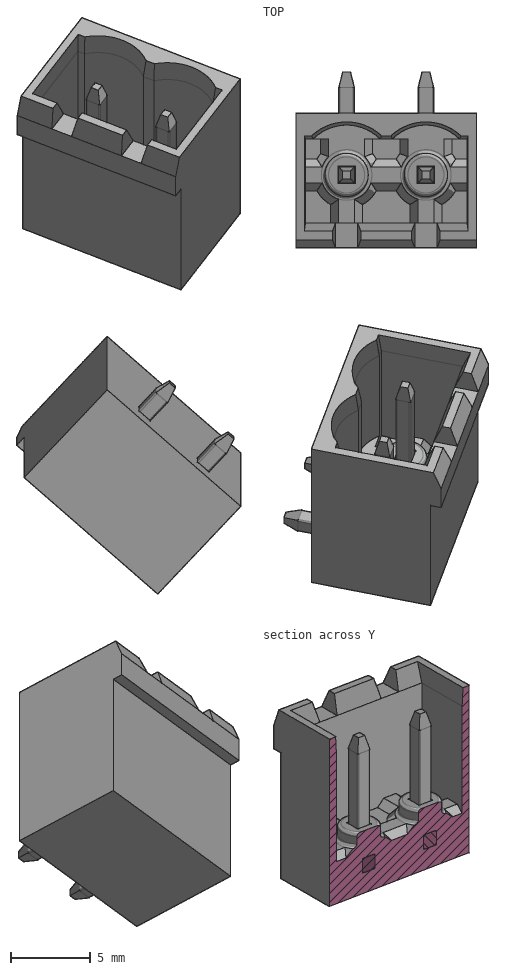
import cadquery as cq

WIDTH = 11.4
HEIGHT = 12.0
HOUSING_DEPTH = 8.5
LIP_OVERHANG = 0.7
LIP_BOTTOM = 9.0
LIP_CHAMFER_DEPTH = 0.5
LEAD_IN_DEPTH = 1.3

PITCH = 5.0
PIN_Y = 4.6
PIN_XS = [WIDTH / 2 - PITCH / 2, WIDTH / 2 + PITCH / 2]

FLOOR_Z = 3.0
SIDE_WALL = 0.6
SIDE_LEAD_IN = 0.07
FRONT_Y = 1.55
FRONT_LEAD_IN = 0.5
BACK_Y = 6.86
BACK_LEAD_IN = 0.2
LOBE_RADIUS = 3.0
LOBE_Y = 4.74

NOTCH_TOP_WIDTH = 1.8
NOTCH_BOTTOM_WIDTH = 1.4

RIB_HEIGHT = 0.5
RIB_WIDTH = 1.0
BACK_RIB_WIDTH = 2.28
RIB_DISC_RADIUS = 1.62
BOSS_RADIUS = 1.37
BOSS_TOP_Z = 4.5
BOSS_FILLET = 0.23

PIN_SIZE = 1.0
PIN_FILLET = 0.1
BORE_SIZE = 1.1
TIP_LENGTH = 1.0
TIP_END = 0.5
PIN_TOP_Z = 10.8
PIN_AXIS_Z = 2.0
PIN_BACK_Y = 11.1

LEAD_IN_Z = HEIGHT - LEAD_IN_DEPTH
RIB_TOP_Z = FLOOR_Z + RIB_HEIGHT


def make_shell():
    """Outer block with the chamfered lip along the top of its front face."""
    outline = [
        (HOUSING_DEPTH, 0),
        (HOUSING_DEPTH, HEIGHT),
        (LIP_CHAMFER_DEPTH, HEIGHT),
        (0, LEAD_IN_Z),
        (0, LIP_BOTTOM),
        (LIP_OVERHANG, LIP_BOTTOM),
        (LIP_OVERHANG, 0),
    ]
    return cq.Workplane("YZ").polyline(outline).close().extrude(WIDTH)


def cavity_rectangle(z, growth):
    """Rectangular cavity section at height z, widened by a fraction of the full lead-in."""
    left = SIDE_WALL - growth * SIDE_LEAD_IN
    front = FRONT_Y - growth * FRONT_LEAD_IN
    back = BACK_Y + growth * BACK_LEAD_IN
    corners = [(left, front), (WIDTH - left, front), (WIDTH - left, back), (left, back)]
    return cq.Workplane("XY", origin=(0, 0, z)).polyline(corners).close()


def make_lobe(x):
    """Round recess behind one pin, flaring outwards over the lead-in."""
    profile = [
        (0, RIB_TOP_Z),
        (LOBE_RADIUS, RIB_TOP_Z),
        (LOBE_RADIUS, LEAD_IN_Z),
        (LOBE_RADIUS + BACK_LEAD_IN, HEIGHT),
        (0, HEIGHT),
    ]
    section = cq.Workplane("XZ", origin=(x, LOBE_Y, 0)).polyline(profile).close()
    lobe = section.revolve(360, (0, 0), (0, 1))
    back_half = cq.Workplane("XY").box(PITCH, HOUSING_DEPTH, HEIGHT, centered=(True, False, False))
    return lobe.intersect(back_half.translate((x, PIN_Y, 0)))


def make_cavity():
    """Open-topped cavity with a flared lead-in and a round lobe behind each pin."""
    straight = cavity_rectangle(FLOOR_Z, 0).extrude(LEAD_IN_Z - FLOOR_Z)
    lower = cavity_rectangle(LEAD_IN_Z, 0).wires().val()
    upper = cavity_rectangle(HEIGHT, 1).wires().val()
    lead_in = cq.Workplane(cq.Solid.makeLoft([lower, upper], True))
    cavity = straight.union(lead_in)
    for x in PIN_XS:
        cavity = cavity.union(make_lobe(x))
    return cavity


def make_notch(x):
    """Tapered notch through the front wall, as deep as the lead-in."""
    outline = [
        (x - NOTCH_BOTTOM_WIDTH / 2, LEAD_IN_Z),
        (x + NOTCH_BOTTOM_WIDTH / 2, LEAD_IN_Z),
        (x + NOTCH_TOP_WIDTH / 2, HEIGHT),
        (x - NOTCH_TOP_WIDTH / 2, HEIGHT),
    ]
    return cq.Workplane("XZ").polyline(outline).close().extrude(-FRONT_Y)


def rib_bar(width, length):
    """Bar along +Y from the origin with 45-degree flanks, resting on the floor."""
    outline = [
        (-width / 2 - RIB_HEIGHT, FLOOR_Z),
        (width / 2 + RIB_HEIGHT, FLOOR_Z),
        (width / 2, RIB_TOP_Z),
        (-width / 2, RIB_TOP_Z),
    ]
    return cq.Workplane("XZ").polyline(outline).close().extrude(-length)


def make_floor_ribs():
    """One cross bar, and around each pin a cone with a bar to the front and one to the back."""
    cross_bar = rib_bar(RIB_WIDTH, WIDTH).rotate((0, 0, 0), (0, 0, 1), -90)
    ribs = cross_bar.translate((0, PIN_Y, 0))
    for x in PIN_XS:
        front_bar = rib_bar(RIB_WIDTH, PIN_Y).translate((x, 0, 0))
        back_bar = rib_bar(BACK_RIB_WIDTH, HOUSING_DEPTH - PIN_Y).translate((x, PIN_Y, 0))
        cone = cq.Workplane(cq.Solid.makeCone(
            RIB_DISC_RADIUS + RIB_HEIGHT, RIB_DISC_RADIUS, RIB_HEIGHT, cq.Vector(x, PIN_Y, FLOOR_Z)
        ))
        ribs = ribs.union(front_bar).union(back_bar).union(cone)
    return ribs


def make_boss(x):
    """Round boss around one pin, with a fillet at its foot and a rounded top edge."""
    outline = (
        cq.Workplane("XZ", origin=(x, PIN_Y, 0))
        .moveTo(0, RIB_TOP_Z)
        .lineTo(BOSS_RADIUS + BOSS_FILLET, RIB_TOP_Z)
        .radiusArc((BOSS_RADIUS, RIB_TOP_Z + BOSS_FILLET), BOSS_FILLET)
        .lineTo(BOSS_RADIUS, BOSS_TOP_Z - BOSS_FILLET)
        .radiusArc((BOSS_RADIUS - BOSS_FILLET, BOSS_TOP_Z), -BOSS_FILLET)
        .lineTo(0, BOSS_TOP_Z)
        .close()
    )
    return outline.revolve(360, (0, 0), (0, 1))


def make_leg(length):
    """Straight square pin leg along +Z from the origin, ending in a pyramid tip."""
    shaft_length = length - TIP_LENGTH
    shaft = (
        cq.Workplane("XY")
        .rect(PIN_SIZE, PIN_SIZE)
        .extrude(shaft_length)
        .edges("|Z")
        .fillet(PIN_FILLET)
    )
    tip = (
        cq.Workplane("XY", origin=(0, 0, shaft_length))
        .rect(PIN_SIZE, PIN_SIZE)
        .workplane(offset=TIP_LENGTH)
        .rect(TIP_END, TIP_END)
        .loft(ruled=True)
    )
    return shaft.union(tip)


def make_pin_hole(x):
    """Sharp-cornered hole for one pin: a loose upright bore and a close level one."""
    upright = cq.Workplane("XY").box(BORE_SIZE, BORE_SIZE, HEIGHT, centered=(True, True, False))
    level = cq.Workplane("XY").box(PIN_SIZE, HOUSING_DEPTH, PIN_SIZE, centered=(True, False, True))
    hole = upright.translate((0, 0, -PIN_SIZE / 2)).union(level)
    return hole.translate((x, PIN_Y, PIN_AXIS_Z))


def make_pin(x):
    """Bent pin: an upright leg in the cavity and a level leg out of the back."""
    elbow = cq.Workplane("XY").box(PIN_SIZE, PIN_SIZE, PIN_SIZE)
    upright = make_leg(PIN_TOP_Z - PIN_AXIS_Z)
    level = make_leg(PIN_BACK_Y - PIN_Y).rotate((0, 0, 0), (1, 0, 0), -90)
    return elbow.union(upright).union(level).translate((x, PIN_Y, PIN_AXIS_Z))


def make_housing():
    """Shell with its cavity, floor ribs, notches, bosses and pin holes."""
    cavity = make_cavity()
    housing = make_shell().cut(cavity).union(make_floor_ribs().intersect(cavity))
    for x in PIN_XS:
        housing = housing.cut(make_notch(x)).union(make_boss(x)).cut(make_pin_hole(x))
    return housing


housing = make_housing()
pins = [make_pin(x) for x in PIN_XS]

result = cq.Compound.makeCompound([housing.solids().val(), *[pin.solids().val() for pin in pins]])